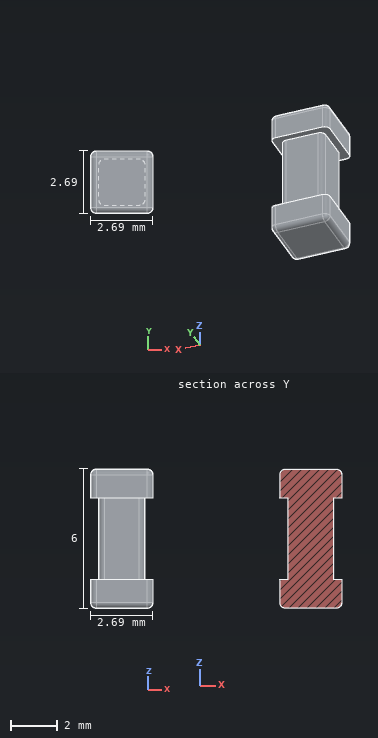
import cadquery as cq

total_height = 6.0
cap_width = 2.69
cap_height = 1.25
body_width = 1.99
edge_radius = 0.25

body_height = total_height - 2 * cap_height


def make_body():
    """Square central column with rounded vertical edges."""
    column = cq.Workplane("XY").box(body_width, body_width, body_height)
    return column.edges("|Z").fillet(edge_radius)


def make_top_cap():
    """Square end cap, rounded on its sides and outer face, sharp where it meets the body."""
    cap_centre_z = (body_height + cap_height) / 2
    cap = cq.Workplane("XY").box(cap_width, cap_width, cap_height)
    cap = cap.edges("|Z or >Z").fillet(edge_radius)
    return cap.translate((0, 0, cap_centre_z))


top_cap = make_top_cap()
bottom_cap = top_cap.mirror("XY")

result = make_body().union(top_cap).union(bottom_cap)